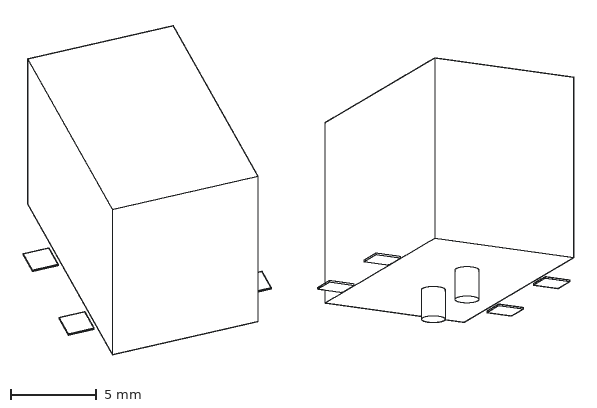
import cadquery as cq

HOUSING_LENGTH = 14.7
HOUSING_DEPTH = 9.04
OVERALL_HEIGHT = 12.8
PIN_LENGTH = 1.8
HOUSING_HEIGHT = OVERALL_HEIGHT - PIN_LENGTH

FIRST_COLUMN_X = -2.35

PIN_DIAMETER = 1.4
PIN_PITCH = 4.5

PAD_SIDE = 1.6
PAD_THICKNESS = 0.1
PAD_PITCH = 6.22
OVERALL_DEPTH = 12.6
PAD_CENTRE_Y = (OVERALL_DEPTH - PAD_SIDE) / 2


def make_housing():
    """Plain rectangular block standing on Z = 0."""
    return cq.Workplane("XY").box(
        HOUSING_LENGTH, HOUSING_DEPTH, HOUSING_HEIGHT, centered=(True, True, False)
    )


def make_pin(x):
    """Round pin hanging from the housing underside."""
    return cq.Workplane("XY").center(x, 0).circle(PIN_DIAMETER / 2).extrude(-PIN_LENGTH)


def make_pad(x, y):
    """Thin square plate just below Z = 0."""
    return cq.Workplane("XY").center(x, y).rect(PAD_SIDE, PAD_SIDE).extrude(-PAD_THICKNESS)


housing = make_housing()

pins = [make_pin(x) for x in (FIRST_COLUMN_X, FIRST_COLUMN_X + PIN_PITCH)]

pads = [
    make_pad(x, y)
    for x in (FIRST_COLUMN_X, FIRST_COLUMN_X + PAD_PITCH)
    for y in (-PAD_CENTRE_Y, PAD_CENTRE_Y)
]

result = cq.Compound.makeCompound([body.val() for body in [housing, *pins, *pads]])